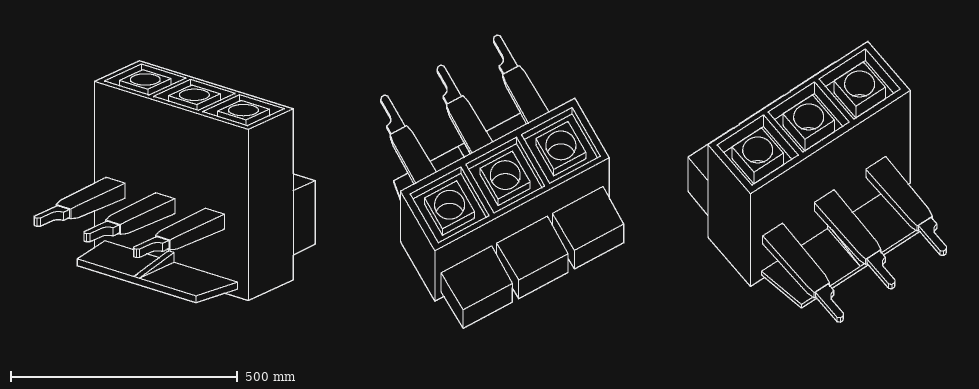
import cadquery as cq
import math

HOUSING_WIDTH = 440.0
HOUSING_DEPTH = 156.5
HOUSING_HEIGHT = 408.0
POLE_COUNT = 3

WELL_SIZE = 128.0
WELL_PITCH = 140.5
WELL_CENTRE_Y = 80.0
WELL_DEPTH = 52.0
POST_SIZE = 81.0
BORE_DIAMETER = 66.0
BORE_DEPTH = 104.0

REAR_BLOCK_WIDTH = WELL_SIZE
REAR_BLOCK_HEIGHT = 155.0
REAR_BLOCK_LENGTH = 97.0
REAR_BLOCK_CENTRE_Z = 126.0
DRAFT_ANGLE = 1.0

ARM_PITCH = 142.0
MIDDLE_ARM_X = -17.0
ARM_CENTRE_Z = 170.5
ARM_WIDTH = 54.5
ARM_HEIGHT = 36.0
ARM_LENGTH = 161.0
COLLAR_LENGTH = 20.0
COLLAR_ANGLE = 10.0

SHELF_ROOT_WIDTH = 379.5
SHELF_TIP_WIDTH = 340.0
SHELF_LENGTH = 120.5
SHELF_BOTTOM_Z = 20.0
SHELF_THICKNESS = 16.5
GUSSET_WIDTH = 16.0
GUSSET_HEIGHT = 23.5

TOTAL_DEPTH = 519.5
BLADE_WIDTH = 35.5
BLADE_THICKNESS = 20.0
BLADE_TIP_WIDTH = BLADE_WIDTH / 2
SHOULDER_LENGTH = 21.5
SHOULDER_RADIUS = BLADE_WIDTH - BLADE_TIP_WIDTH
TIP_CHAMFER = 5.0

POLE_STEPS = [i - (POLE_COUNT - 1) / 2 for i in range(POLE_COUNT)]
WELL_CENTRES = [(step * WELL_PITCH, WELL_CENTRE_Y) for step in POLE_STEPS]
ARM_CENTRES_X = [MIDDLE_ARM_X + step * ARM_PITCH for step in POLE_STEPS]
COLLAR_END_Y = -(ARM_LENGTH + COLLAR_LENGTH)
BLADE_TIP_Y = HOUSING_DEPTH + REAR_BLOCK_LENGTH - TOTAL_DEPTH


def drafted_block(plane, width, height, length, angle):
    """Rectangular block that narrows by the given angle on all four sides."""
    return cq.Workplane(plane).rect(width, height).extrude(length, taper=angle)


def facing_plane(x, y, z, direction):
    """Upright plane at (x, y, z) whose normal points along +Y (1) or -Y (-1)."""
    return cq.Plane(origin=(x, y, z), xDir=(1, 0, 0), normal=(0, direction, 0))


def make_housing_block():
    """Main block with its wells, posts and blind bores."""
    block = cq.Workplane("XY").box(
        HOUSING_WIDTH, HOUSING_DEPTH, HOUSING_HEIGHT, centered=(True, False, False)
    )
    top = cq.Workplane("XY", origin=(0, 0, HOUSING_HEIGHT)).pushPoints(WELL_CENTRES)
    wells = top.rect(WELL_SIZE, WELL_SIZE).extrude(-WELL_DEPTH)
    posts = top.rect(POST_SIZE, POST_SIZE).extrude(-WELL_DEPTH)
    bores = top.circle(BORE_DIAMETER / 2).extrude(-BORE_DEPTH)
    return block.cut(wells.cut(posts)).cut(bores)


def make_rear_block(x):
    """Drafted block on the rear face."""
    root = facing_plane(x, HOUSING_DEPTH, REAR_BLOCK_CENTRE_Z, 1)
    return drafted_block(root, REAR_BLOCK_WIDTH, REAR_BLOCK_HEIGHT, REAR_BLOCK_LENGTH, DRAFT_ANGLE)


def make_arm(x):
    """Drafted arm on the front face with its collar."""
    narrowing = 2 * ARM_LENGTH * math.tan(math.radians(DRAFT_ANGLE))
    arm_root = facing_plane(x, 0, ARM_CENTRE_Z, -1)
    arm = drafted_block(arm_root, ARM_WIDTH, ARM_HEIGHT, ARM_LENGTH, DRAFT_ANGLE)
    collar_root = facing_plane(x, -ARM_LENGTH, ARM_CENTRE_Z, -1)
    collar = drafted_block(
        collar_root, ARM_WIDTH - narrowing, ARM_HEIGHT - narrowing, COLLAR_LENGTH, COLLAR_ANGLE
    )
    return arm.union(collar)


def make_shelf():
    """Tapered shelf with the triangular gusset on top of it."""
    shelf = (
        cq.Workplane("XY", origin=(0, 0, SHELF_BOTTOM_Z))
        .moveTo(-SHELF_ROOT_WIDTH / 2, 0)
        .lineTo(SHELF_ROOT_WIDTH / 2, 0)
        .lineTo(SHELF_TIP_WIDTH / 2, -SHELF_LENGTH)
        .lineTo(-SHELF_TIP_WIDTH / 2, -SHELF_LENGTH)
        .close()
        .extrude(SHELF_THICKNESS)
    )
    gusset = (
        cq.Workplane("YZ", origin=(0, 0, SHELF_BOTTOM_Z + SHELF_THICKNESS))
        .lineTo(0, GUSSET_HEIGHT)
        .lineTo(-SHELF_LENGTH, 0)
        .close()
        .extrude(GUSSET_WIDTH / 2, both=True)
    )
    return shelf.union(gusset)


def make_housing():
    """Housing with all its rear blocks, arms and the shelf as one solid."""
    body = make_housing_block().union(make_shelf())
    for x, _ in WELL_CENTRES:
        body = body.union(make_rear_block(x))
    for x in ARM_CENTRES_X:
        body = body.union(make_arm(x))
    return body


def make_blade(x):
    """Flat contact blade, stepped to half width by a concave shoulder, with a chamfered tip."""
    left = x - BLADE_WIDTH / 2
    right = x + BLADE_WIDTH / 2
    tip_right = left + BLADE_TIP_WIDTH
    shoulder_y = COLLAR_END_Y - SHOULDER_LENGTH
    return (
        cq.Workplane("XY", origin=(0, 0, ARM_CENTRE_Z))
        .moveTo(left, COLLAR_END_Y)
        .lineTo(right, COLLAR_END_Y)
        .lineTo(right, shoulder_y)
        .radiusArc((tip_right, shoulder_y - SHOULDER_RADIUS), -SHOULDER_RADIUS)
        .lineTo(tip_right, BLADE_TIP_Y)
        .lineTo(left, BLADE_TIP_Y)
        .close()
        .extrude(BLADE_THICKNESS / 2, both=True)
        .faces("<Y")
        .edges("|Z")
        .chamfer(TIP_CHAMFER)
    )


housing = make_housing()
blades = [make_blade(x) for x in ARM_CENTRES_X]

result = cq.Compound.makeCompound([housing.val(), *[blade.val() for blade in blades]])